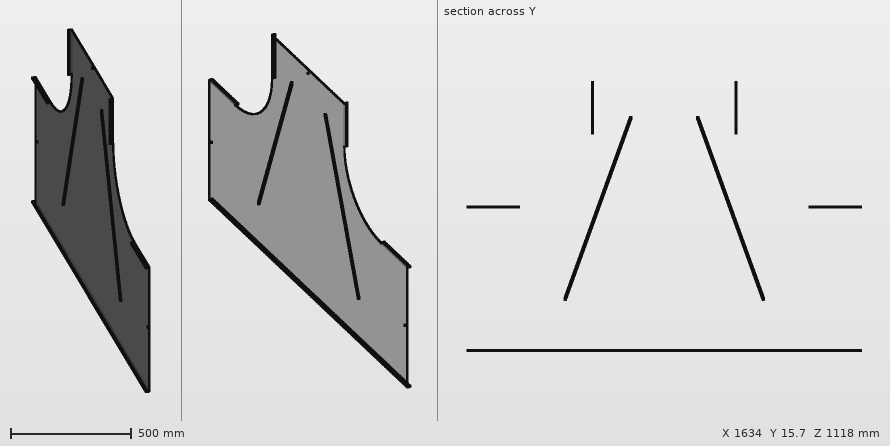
import cadquery as cq
import math

length = 1634.0
height = 1118.0
depth = 15.7
sheet = 1.0

branch_width = 601.0
run_height = 600.0
corner_radius = 304.0
corner_setback = 2.0

bend_radius = 4.1
hem_radius = 2.1
hem_return = 3.0
end_flange_length = 214.0

bead_radius = 5.0
bead_top_x = 139.0
bead_top_z = 969.0
bead_bottom_x = 412.0
bead_bottom_z = 215.0

hole_diameter = 7.0
hole_inset = 20.0

half_length = length / 2
half_branch = branch_width / 2

overlap = sheet / 2


def make_plate():
    """Flat T-shaped sheet, stopping at the bends and a little inside the outer width at the corners."""
    bend_x = half_branch - bend_radius
    bend_z = run_height - bend_radius
    edge_x = half_branch - corner_setback
    edge_z = run_height - corner_setback
    arc_mid_x = edge_x + corner_radius * (1 - math.sqrt(0.5))
    arc_mid_z = edge_z + corner_radius * (1 - math.sqrt(0.5))
    arc_end_x = edge_x + corner_radius
    arc_end_z = edge_z + corner_radius
    return (
        cq.Workplane("XZ")
        .moveTo(-half_length, bend_radius)
        .lineTo(half_length, bend_radius)
        .lineTo(half_length, bend_z)
        .lineTo(arc_end_x, bend_z)
        .lineTo(arc_end_x, edge_z)
        .threePointArc((arc_mid_x, arc_mid_z), (edge_x, arc_end_z))
        .lineTo(bend_x, arc_end_z)
        .lineTo(bend_x, height)
        .lineTo(-bend_x, height)
        .lineTo(-bend_x, arc_end_z)
        .lineTo(-edge_x, arc_end_z)
        .threePointArc((-arc_mid_x, arc_mid_z), (-arc_end_x, edge_z))
        .lineTo(-arc_end_x, bend_z)
        .lineTo(-half_length, bend_z)
        .close()
        .extrude(sheet)
    )


def make_folded_edge(span):
    """Bend, flange and hem along +X from the origin, with the outer face on Z = 0."""
    hem_start = hem_radius - depth
    hem_end = hem_start + hem_return
    hem_height = 2 * hem_radius
    bend_inner = bend_radius - sheet
    return (
        cq.Workplane("YZ")
        .moveTo(0, bend_radius + overlap)
        .lineTo(0, bend_radius)
        .radiusArc((-bend_radius, 0), bend_radius)
        .lineTo(hem_start, 0)
        .threePointArc((-depth, hem_radius), (hem_start, hem_height))
        .lineTo(hem_end, hem_height)
        .lineTo(hem_end, hem_height - sheet)
        .lineTo(hem_start, hem_height - sheet)
        .threePointArc((-depth + sheet, hem_radius), (hem_start, sheet))
        .lineTo(-bend_radius, sheet)
        .radiusArc((-sheet, bend_radius), -bend_inner)
        .lineTo(-sheet, bend_radius + overlap)
        .close()
        .extrude(span)
    )


def make_bead():
    """Half-round bead on the right-hand side, leaning toward the branch, with rounded ends."""
    run_x = bead_top_x - bead_bottom_x
    run_z = bead_top_z - bead_bottom_z
    straight_length = math.hypot(run_x, run_z)
    lean = math.degrees(math.atan2(run_x, run_z))
    rod = cq.Workplane("XY").circle(bead_radius).extrude(straight_length)
    bottom_end = cq.Workplane("XY").sphere(bead_radius)
    top_end = bottom_end.translate((0, 0, straight_length))
    bead = (
        rod.union(bottom_end)
        .union(top_end)
        .rotate((0, 0, 0), (0, 1, 0), lean)
        .translate((bead_bottom_x, -sheet, bead_bottom_z))
    )
    front_space = cq.Workplane("XZ").rect(2 * length, 2 * height).extrude(depth)
    return bead.intersect(front_space.translate((0, -overlap, 0)))


def make_holes():
    """Cutters for the holes on the centre line of each open end."""
    run_middle = run_height / 2
    places = [
        (half_length - hole_inset, run_middle),
        (hole_inset - half_length, run_middle),
        (0, height - hole_inset),
    ]
    return cq.Workplane("XZ").pushPoints(places).circle(hole_diameter / 2).extrude(sheet)


bottom_fold = make_folded_edge(length).translate((-half_length, 0, 0))
end_fold = make_folded_edge(end_flange_length)
run_fold = (
    end_fold
    .mirror("XY")
    .translate((half_length - end_flange_length, 0, run_height))
)
branch_fold = (
    end_fold
    .rotate((0, 0, 0), (0, 1, 0), -90)
    .translate((half_branch, 0, height - end_flange_length))
)

result = make_plate().union(bottom_fold)
for right_feature in (run_fold, branch_fold, make_bead()):
    result = result.union(right_feature).union(right_feature.mirror("YZ"))
result = result.cut(make_holes())